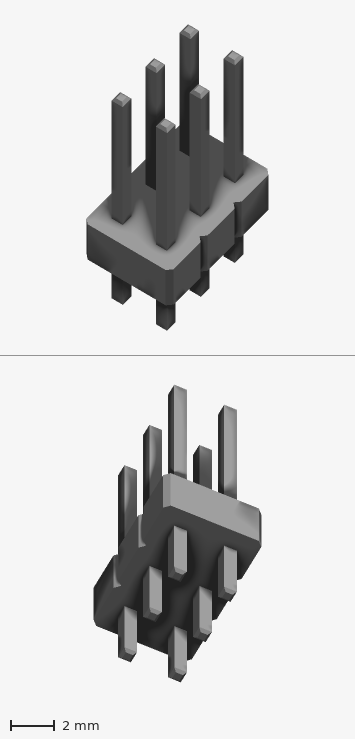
import cadquery as cq

pitch = 2.55
columns = 2
rows = 3

body_width = 5.0
body_length = 7.62
body_height = 2.5
corner_cut = 0.26

pin_side = 0.65
pin_length = 14.3
pin_below_body = 3.3
tip_side = 0.36
tip_height = 0.15


def make_body():
    """Block with bevelled corners and a V-groove between neighbouring rows on each long side."""
    body = (
        cq.Workplane("XY")
        .box(body_width, body_length, body_height, centered=(True, True, False))
        .edges("|Z")
        .chamfer(corner_cut)
    )
    for boundary in range(1, rows):
        groove_y = (boundary - rows / 2) * pitch
        for side in (-1, 1):
            outer_x = side * body_width / 2
            groove = (
                cq.Workplane("XY")
                .moveTo(outer_x, groove_y - corner_cut)
                .lineTo(outer_x - side * corner_cut, groove_y)
                .lineTo(outer_x, groove_y + corner_cut)
                .close()
                .extrude(body_height)
            )
            body = body.cut(groove)
    return body


def make_pin():
    """Vertical square pin whose two ends taper to a smaller square."""
    shaft_bottom = tip_height - pin_below_body
    shaft_length = pin_length - 2 * tip_height
    shaft = (
        cq.Workplane("XY")
        .workplane(offset=shaft_bottom)
        .rect(pin_side, pin_side)
        .extrude(shaft_length)
    )
    ends = ((shaft_bottom, -tip_height), (shaft_bottom + shaft_length, tip_height))
    for base_z, rise in ends:
        tip = (
            cq.Workplane("XY")
            .workplane(offset=base_z)
            .rect(pin_side, pin_side)
            .workplane(offset=rise)
            .rect(tip_side, tip_side)
            .loft(ruled=True)
        )
        shaft = shaft.union(tip)
    return shaft


result = make_body()
pin = make_pin()
for column in range(columns):
    pin_x = (column - (columns - 1) / 2) * pitch
    for row in range(rows):
        pin_y = (row - (rows - 1) / 2) * pitch
        result = result.union(pin.translate((pin_x, pin_y, 0)))